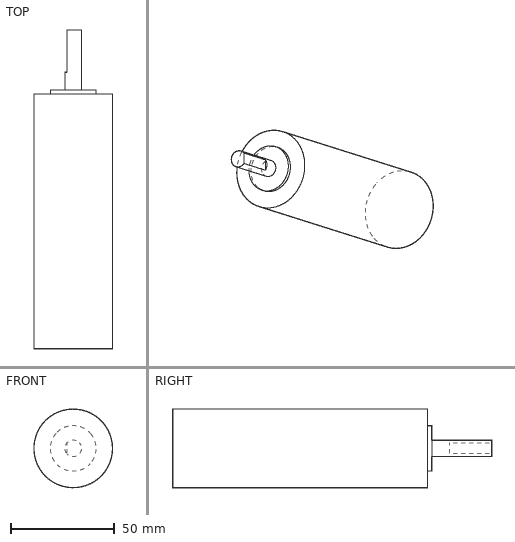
import cadquery as cq

total_length = 154.0
body_diameter = 38.0
body_length = 123.0
pilot_diameter = 22.0
pilot_height = 2.0
shaft_diameter = 8.0
flat_length = 20.5
flat_depth = 1.0

pilot_end = body_length + pilot_height
shaft_length = total_length - pilot_end


def cylinder_along_y(diameter, start, length):
    """Cylinder on the motor axis, from y = start towards +Y."""
    plane = cq.Plane(origin=(0, start, 0), xDir=(1, 0, 0), normal=(0, 1, 0))
    return cq.Workplane(plane).circle(diameter / 2).extrude(length)


body = cylinder_along_y(body_diameter, 0, body_length)
pilot = cylinder_along_y(pilot_diameter, body_length, pilot_height)
shaft = cylinder_along_y(shaft_diameter, pilot_end, shaft_length)

flat_cut = cq.Workplane("XY").box(
    flat_depth, flat_length, shaft_diameter, centered=(False, False, True)
).translate((-shaft_diameter / 2, total_length - flat_length, 0))

result = body.union(pilot).union(shaft.cut(flat_cut))